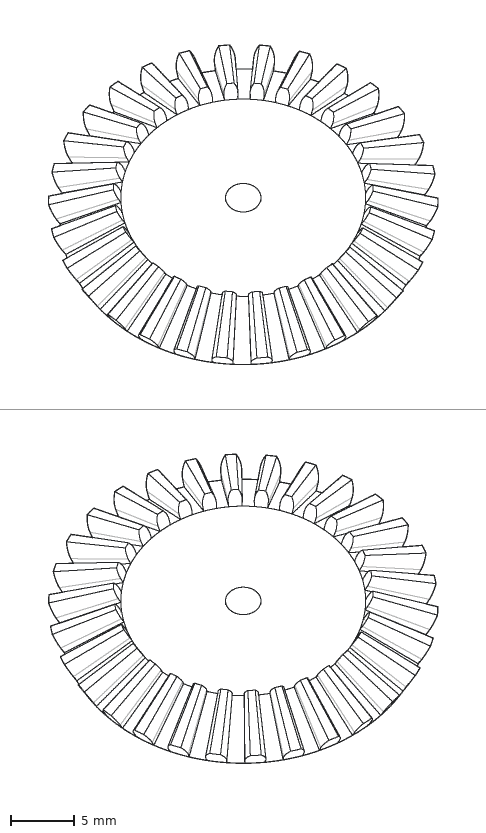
import cadquery as cq
import math

tooth_count = 30
mating_tooth_count = 13
outer_radius = 15.4
dedendum = 1.23
face_fraction = 1 / 3

root_width = 1.57
knee_width = 1.7
knee_height = -0.45
flank_width = 1.5
flank_height = 0.28
tip_width = 0.85
root_overrun = 0.15
tip_overrun = 0.15
end_margin = 0.05

bore_diameter = 2.8
hub_radius = 2.0
jaw_count = 2
jaw_radius = 4.03
jaw_length = 2.0
jaw_span = 86.6
jaw_direction = 203.3

pitch_angle = math.atan2(tooth_count, mating_tooth_count)
back_r = math.cos(pitch_angle)
back_z = math.sin(pitch_angle)
module = 2 * outer_radius / (tooth_count + 2 * back_r)
addendum = module
pitch_radius = module * tooth_count / 2
pitch_z = dedendum * back_z
apex_z = pitch_z + pitch_radius / math.tan(pitch_angle)
small_end_scale = 1 - face_fraction


def back_cone_point(height):
    """Radius and Z of the point on the back cone at a height from the pitch line."""
    return (pitch_radius + height * back_r, pitch_z + height * back_z)


def scale_about_apex(point, scale):
    """Slide a radius-and-Z point along the line that joins it to the apex."""
    radius, z = point
    return (radius * scale, apex_z + (z - apex_z) * scale)


root_outer = back_cone_point(-dedendum)
tip_outer = back_cone_point(addendum)
root_inner = scale_about_apex(root_outer, small_end_scale)
tip_inner = scale_about_apex(tip_outer, small_end_scale)


def revolve_about_z(points):
    """Full turn of a radius-and-Z outline."""
    return cq.Workplane("XZ").polyline(points).close().revolve(360, (0, 0, 0), (0, 1, 0))


def make_body():
    """Flat-topped disc whose sloping rim is the root cone."""
    return revolve_about_z([(0, 0), root_outer, root_inner, (0, root_inner[1])])


def tooth_section(scale):
    """Closed tooth outline, square to the pitch line and scaled about the apex."""
    radius, z = scale_about_apex((pitch_radius, pitch_z), scale)
    plane = cq.Plane(origin=(radius, 0, z), xDir=(0, 1, 0), normal=(back_z, 0, -back_r))
    bottom = -dedendum - root_overrun
    top = addendum + tip_overrun

    def at(width, height, side):
        return (side * width / 2 * scale, height * scale)

    return (
        cq.Workplane(plane)
        .moveTo(*at(root_width, bottom, -1))
        .lineTo(*at(root_width, bottom, 1))
        .lineTo(*at(knee_width, knee_height, 1))
        .threePointArc(at(flank_width, flank_height, 1), at(tip_width, addendum, 1))
        .lineTo(*at(tip_width, top, 1))
        .lineTo(*at(tip_width, top, -1))
        .lineTo(*at(tip_width, addendum, -1))
        .threePointArc(at(flank_width, flank_height, -1), at(knee_width, knee_height, -1))
        .close()
        .wires()
        .val()
    )


def make_tooth():
    """Tooth on +X that tapers towards the apex, trimmed by the gear's cones."""
    sections = [tooth_section(1 + end_margin), tooth_section(small_end_scale - end_margin)]
    tapered = cq.Workplane(obj=cq.Solid.makeLoft(sections, True))
    tooth_ring = revolve_about_z(
        [(root_inner[0], 0), root_outer, tip_outer, tip_inner, root_inner]
    )
    return tapered.intersect(tooth_ring)


def make_hub():
    """Round hub below the disc, with two clutch jaws standing out from it."""
    hub = cq.Workplane("XY").circle(hub_radius).extrude(-jaw_length)
    half_span = math.radians(jaw_span / 2)
    corner_x = jaw_radius * math.cos(half_span)
    corner_y = jaw_radius * math.sin(half_span)
    jaw = (
        cq.Workplane("XY")
        .lineTo(corner_x, -corner_y)
        .threePointArc((jaw_radius, 0), (corner_x, corner_y))
        .close()
        .extrude(-jaw_length)
    )
    for i in range(jaw_count):
        angle = jaw_direction + i * 360 / jaw_count
        hub = hub.union(jaw.rotate((0, 0, 0), (0, 0, 1), angle))
    return hub


def make_bore():
    """Cylinder through the full height of the gear."""
    length = jaw_length + root_inner[1]
    return cq.Workplane("XY").workplane(offset=-jaw_length).circle(bore_diameter / 2).extrude(length)


result = make_body().union(make_hub())
tooth = make_tooth()
for i in range(tooth_count):
    result = result.union(tooth.rotate((0, 0, 0), (0, 0, 1), i * 360 / tooth_count))
result = result.cut(make_bore())